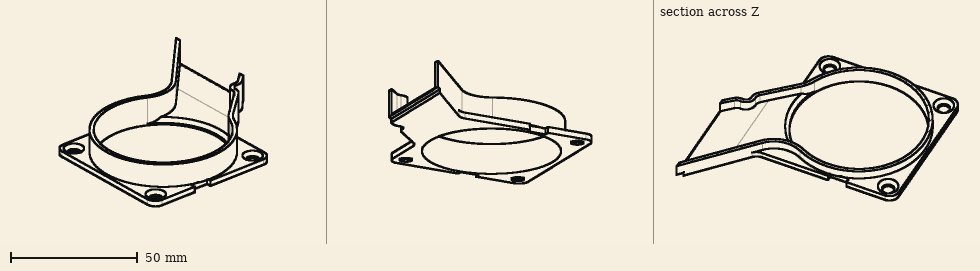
import cadquery as cq
import math

total_height = 12.5
plate_height = 2.5

plate_side = 60.5
half_side = plate_side / 2
corner_radius = 4.0
blend_radius = 5.0
screw_offset = 25.05
screw_diameter = 5.0
countersink_diameter = 8.1
countersink_angle = 90
slot_top = -1.1
slot_bottom = -9.2
slot_inner_x = 28.2

bore_radius = 55.0 / 2
wall = 1.7
ring_radius = bore_radius + wall
floor_chamfer = wall

outlet_y = 53.3
overrun = 6.8
left_tip_x = half_side - 85.5
right_tip_x = -13.9
left_slope = math.radians(43)
right_slope = math.radians(47.5)
throat_radius = 12.8
dent_radius = 2.4
dent_blend = 4.45
dent_y = 46.1
ramp_start_y = 38.4
outlet_floor = 2.0
lip_length = 2.0
lip_height = 1.5


def along(start, direction, distance):
    """Point at a distance from start along a unit direction."""
    return (start[0] + direction[0] * distance, start[1] + direction[1] * distance)


def throat(tip, outward, turn, inset):
    """Arc joining a duct side to the ring: line point, arc middle, ring point.

    outward points away from the duct, turn is +1 or -1 for the side of the outward
    normal the arc lies on, and inset moves the whole chain into the wall.
    """
    normal_distance = tip[0] * outward[0] + tip[1] * outward[1] + throat_radius
    centre_distance = ring_radius + throat_radius
    centre_angle = math.atan2(outward[1], outward[0])
    centre_angle += turn * math.acos(normal_distance / centre_distance)
    to_centre = (math.cos(centre_angle), math.sin(centre_angle))
    centre = along((0, 0), to_centre, centre_distance)
    line_point = along(centre, outward, -throat_radius - inset)
    ring_point = along((0, 0), to_centre, ring_radius - inset)
    chord_middle = ((line_point[0] + ring_point[0]) / 2, (line_point[1] + ring_point[1]) / 2)
    span = math.dist(centre, chord_middle)
    to_arc = ((chord_middle[0] - centre[0]) / span, (chord_middle[1] - centre[1]) / span)
    return line_point, along(centre, to_arc, throat_radius + inset), ring_point


def housing_outline(inset=0.0):
    """Closed outline of ring and duct, running on past the outlet.

    Without inset it is the outside of the wall. With inset it is the duct passage,
    which ends at the middle of the bore instead of going round the ring.
    """
    left_down = (math.cos(left_slope), -math.sin(left_slope))
    left_out = (-math.sin(left_slope), -math.cos(left_slope))
    left_tip = (left_tip_x, outlet_y)
    right_down = (math.cos(right_slope), -math.sin(right_slope))
    right_out = (math.sin(right_slope), math.cos(right_slope))
    right_tip = (right_tip_x, outlet_y)

    left_line, left_mid, left_ring = throat(left_tip, left_out, -1, inset)
    right_line, right_mid, right_ring = throat(right_tip, right_out, 1, inset)

    dent = along(right_tip, right_down, (outlet_y - dent_y) / math.sin(right_slope))
    reach = math.sqrt((dent_radius + dent_blend) ** 2 - dent_blend**2)
    contact = (dent_radius + inset) / (dent_radius + dent_blend)
    swing = math.atan2(reach, dent_blend) / 2

    def shoulder(side):
        centre = along(along(dent, right_down, side * reach), right_out, -dent_blend)
        radius = dent_blend - inset
        foot = along(centre, right_out, radius)
        middle = along(centre, right_out, radius * math.cos(swing))
        middle = along(middle, right_down, -side * radius * math.sin(swing))
        touch = along(dent, right_down, side * reach * contact)
        touch = along(touch, right_out, -dent_blend * contact)
        return foot, middle, touch

    upper_foot, upper_mid, upper_touch = shoulder(-1)
    lower_foot, lower_mid, lower_touch = shoulder(1)
    left_end = along(along(left_tip, left_out, -inset), left_down, -overrun / math.sin(left_slope))
    right_end = along(along(right_tip, right_out, -inset), right_down, -overrun / math.sin(right_slope))

    outline = cq.Workplane("XY").moveTo(*left_end).lineTo(*left_line).threePointArc(left_mid, left_ring)
    if inset:
        outline = outline.lineTo(0, 0).lineTo(*right_ring)
    else:
        outline = outline.threePointArc((0, -ring_radius), right_ring)
    return (
        outline
        .threePointArc(right_mid, right_line)
        .lineTo(*lower_foot)
        .threePointArc(lower_mid, lower_touch)
        .threePointArc(along(dent, right_out, -dent_radius - inset), upper_touch)
        .threePointArc(upper_mid, upper_foot)
        .lineTo(*right_end)
        .close()
    )


def block(x_min, x_max, y_min, y_max, z_min, z_max):
    """Box given by its limits."""
    size = (x_max - x_min, y_max - y_min, z_max - z_min)
    return cq.Workplane("XY").box(*size, centered=False).translate((x_min, y_min, z_min))


def base_plate():
    """Square plate merged with the duct floor, its junctions blended and screw holes countersunk."""
    square = cq.Workplane("XY").rect(plate_side, plate_side).extrude(plate_height)
    square = square.edges("|Z").edges(">X or <Y").fillet(corner_radius)
    plate = square.union(housing_outline().extrude(plate_height))
    left_joint_y = outlet_y - (-half_side - left_tip_x) * math.tan(left_slope)
    right_joint_x = right_tip_x + (outlet_y - half_side) / math.tan(right_slope)
    for joint in ((-half_side, left_joint_y), (right_joint_x, half_side)):
        middle = (*joint, plate_height / 2)
        plate = plate.edges(cq.selectors.NearestToPointSelector(middle)).fillet(blend_radius)
    screws = [(screw_offset, screw_offset), (screw_offset, -screw_offset), (-screw_offset, -screw_offset)]
    return (
        plate.faces(">Z")
        .workplane(origin=(0, 0, plate_height))
        .pushPoints(screws)
        .cskHole(screw_diameter, countersink_diameter, countersink_angle)
    )


passage = housing_outline(wall).extrude(total_height - plate_height)
passage = passage.translate((0, 0, plate_height))

bore = cq.Workplane("XY").circle(bore_radius).extrude(total_height)
bore_cone = (
    cq.Workplane("XY")
    .workplane(offset=plate_height - floor_chamfer)
    .circle(bore_radius)
    .workplane(offset=floor_chamfer)
    .circle(bore_radius + floor_chamfer)
    .loft()
)
duct = housing_outline(wall).extrude(plate_height)
bore_edge = bore_cone.intersect(duct)

ramp_end_y = outlet_y + overrun
fall_rate = (plate_height - outlet_floor) / (outlet_y - ramp_start_y)
ramp_end_floor = plate_height - fall_rate * (ramp_end_y - ramp_start_y)
ramp = (
    cq.Workplane("YZ")
    .polyline([(ramp_start_y, plate_height), (ramp_end_y, plate_height), (ramp_end_y, ramp_end_floor)])
    .close()
    .extrude(plate_side, both=True)
    .translate((left_tip_x / 2, 0, 0))
    .intersect(duct)
)

far_x = 2 * plate_side
beyond_outlet = block(-far_x, far_x, outlet_y, outlet_y + 2 * overrun, 0, total_height)
outlet_step = block(-far_x, far_x, outlet_y - lip_length, outlet_y, 0, lip_height)

left_slot = block(-half_side, -slot_inner_x, slot_bottom, slot_top, 0, plate_height)
right_slot = left_slot.mirror("YZ")

result = base_plate().union(housing_outline().extrude(total_height))
for cutter in (passage, bore, bore_edge, ramp, beyond_outlet, outlet_step, left_slot, right_slot):
    result = result.cut(cutter)